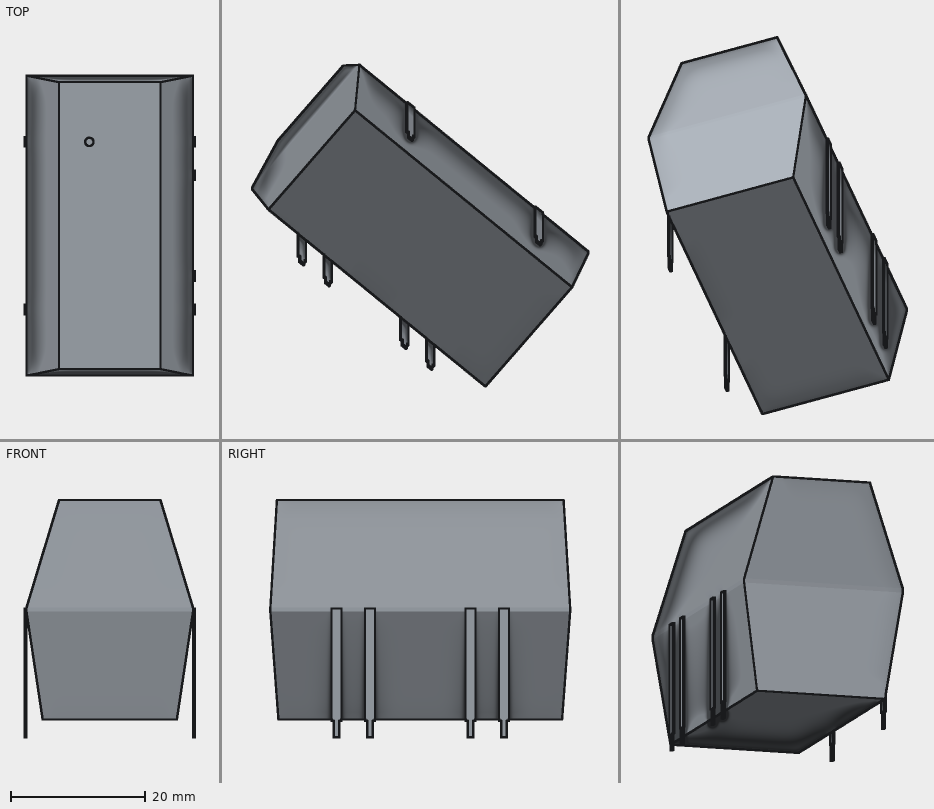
import cadquery as cq

overall_width = 25.37
overall_height = 35.41
pin_thickness = 0.25

band_width = overall_width - 2 * pin_thickness
band_length = 44.75
band_height = 0.65
top_width = 15.15
top_length = 42.8
bottom_width = 20.05
bottom_length = 42.35
taper_height = 16.05

band_bottom_z = taper_height
band_top_z = band_bottom_z + band_height
case_top_z = band_top_z + taper_height

marker_diameter = 1.24
marker_depth = 0.1
marker_x = -3.05
marker_y = 12.5

pin_width = 1.45
pin_tip_width = 0.85
pin_top_gap = 0.15
pin_top_z = band_top_z - pin_top_gap
pin_shoulder_z = -0.2
pin_tip_z = case_top_z - overall_height
outer_pin_y = 12.5
inner_pin_y = 7.5
left_pin_places = [-outer_pin_y, outer_pin_y]
right_pin_places = [-outer_pin_y, -inner_pin_y, inner_pin_y, outer_pin_y]


def taper(start_z, start_size, end_z, end_size):
    """Solid that runs between two centred rectangles at different heights."""
    return (
        cq.Workplane("XY", origin=(0, 0, start_z))
        .rect(*start_size)
        .workplane(offset=end_z - start_z)
        .rect(*end_size)
        .loft(ruled=True)
    )


def make_marker():
    return (
        cq.Workplane("XY", origin=(marker_x, marker_y, case_top_z - marker_depth))
        .circle(marker_diameter / 2)
        .extrude(marker_depth)
    )


def make_case():
    band_size = (band_width, band_length)
    lower = taper(0, (bottom_width, bottom_length), band_bottom_z, band_size)
    band = cq.Workplane("XY", origin=(0, 0, band_bottom_z)).rect(*band_size).extrude(band_height)
    upper = taper(band_top_z, band_size, case_top_z, (top_width, top_length))
    return lower.union(band).union(upper).cut(make_marker())


def make_pin(start_x, y):
    """Flat pin, thickened in +X from start_x, with a narrow tip below its shoulders."""
    half_width = pin_width / 2
    half_tip = pin_tip_width / 2
    return (
        cq.Workplane("YZ", origin=(start_x, y, 0))
        .moveTo(-half_width, pin_top_z)
        .lineTo(half_width, pin_top_z)
        .lineTo(half_width, pin_shoulder_z)
        .lineTo(half_tip, pin_shoulder_z)
        .lineTo(half_tip, pin_tip_z)
        .lineTo(-half_tip, pin_tip_z)
        .lineTo(-half_tip, pin_shoulder_z)
        .lineTo(-half_width, pin_shoulder_z)
        .close()
        .extrude(pin_thickness)
    )


case = make_case()
marker = make_marker()
left_pins = [make_pin(-band_width / 2 - pin_thickness, y) for y in left_pin_places]
right_pins = [make_pin(band_width / 2, y) for y in right_pin_places]

result = cq.Compound.makeCompound(
    [case.val(), marker.val()] + [pin.val() for pin in left_pins + right_pins]
)